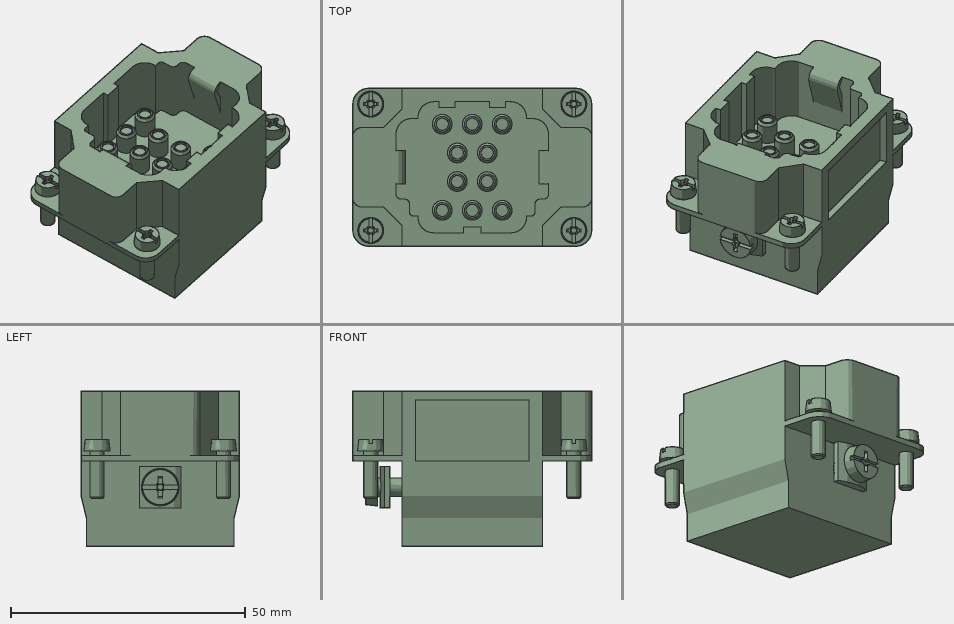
import cadquery as cq
import math

length, width, height = 51.1, 33.8, 33.2
body_length = 30.1
foot_width = 31.6
foot_top_z = 6.05
flare_top_z = 10.7
flange_bottom_z, flange_top_z = 18.25, 19.45
flange_corner_radius = 3.5
end_block_width = 17.0
end_block_corner_radius = 2.0
corner_chamfer = 3.9

label_length = 24.3
label_top_z = 31.25
label_depth = 1.5

cavity_floor_z = 18.7
cavity_end_y = 14.0
narrow_half_length = 11.6
shoulder_y = 10.4
wide_half_length = 16.3
wide_bottom_y = -6.8
step_half_length = 13.4
large_radius, small_radius, step_radius = 3.35, 1.1, 0.8
key_depth = 1.2
top_key_x, top_key_width = 5.4, 3.45
bottom_key_width = 3.65

pin_diameter, pin_rim_diameter, pin_dimple_diameter = 4.2, 3.3, 2.6
pin_top_z = 23.6
pin_taper, pin_dimple_depth = 0.6, 0.5
pin_pitch_x = 6.4
pin_inner_y, pin_outer_y = 3.05, 9.2

latch_width = 7.1
latch_reach = 2.05
latch_bottom_z = 24.0
latch_gap_bottom_z = 28.4
latch_bend_z = 31.2
latch_thickness = 0.85
latch_top_land = 0.3

screw_x, screw_y = 21.7, 13.5
screw_diameter = 3.05
screw_tip_z = 10.3
screw_tip_chamfer = 0.3
screw_head_bottom_z, screw_head_top_z = 20.4, 22.9
screw_head_diameter = 5.55
screw_slot_width, screw_cross_length, screw_socket_diameter = 0.7, 3.1, 2.0
slot_depth = 0.95

terminal_z = 12.67
terminal_shaft_diameter = 4.0
terminal_head_diameter = 8.0
terminal_head_back_x, terminal_head_front_x = -20.2, -22.8
terminal_slot_width, terminal_cross_length, terminal_socket_diameter = 0.9, 4.6, 2.0
plate_size = 8.85
plate_back_x, plate_edge_x, plate_crown_x = -17.6, -18.75, -19.7

head_lip = 0.4
head_taper = 0.25
cross_end_slope = 0.3
socket_depth = 1.4
socket_floor_ratio = 0.6

embed = 0.5


def box(x_min, x_max, y_min, y_max, z_min, z_max):
    size = (x_max - x_min, y_max - y_min, z_max - z_min)
    return cq.Workplane("XY").box(*size, centered=False).translate((x_min, y_min, z_min))


def centred_box(x_size, y_size, z_min, z_max):
    return box(-x_size / 2, x_size / 2, -y_size / 2, y_size / 2, z_min, z_max)


def revolved(profile):
    """Solid of revolution about Z from (radius, z) points."""
    return cq.Workplane("XZ").polyline(profile).close().revolve(360, (0, 0), (0, 1))


def make_housing():
    foot_profile = [
        (foot_width / 2, 0),
        (foot_width / 2, foot_top_z),
        (width / 2, flare_top_z),
        (width / 2, height),
    ]
    mirrored = [(-y, z) for y, z in reversed(foot_profile)]
    body = cq.Workplane("YZ").polyline(foot_profile + mirrored).close().extrude(body_length / 2, both=True)

    flange = centred_box(length, width, flange_bottom_z, flange_top_z)
    flange = flange.edges("|Z").fillet(flange_corner_radius)

    end_blocks = centred_box(length, end_block_width, flange_bottom_z, height)
    end_blocks = end_blocks.edges("|Z").fillet(end_block_corner_radius)

    bevel_half_width = end_block_width / 2 + corner_chamfer
    bevels = centred_box(body_length + 2 * corner_chamfer, 2 * bevel_half_width, flange_bottom_z, height)
    bevels = bevels.edges("|Z").chamfer(corner_chamfer)
    return body.union(flange).union(end_blocks).union(bevels)


def make_label_recess():
    return box(
        -label_length / 2, label_length / 2,
        -width / 2, -width / 2 + label_depth,
        flange_bottom_z, label_top_z,
    )


def make_cavity():
    narrow = centred_box(2 * narrow_half_length, 2 * cavity_end_y, cavity_floor_z, height)
    narrow = narrow.edges("|Z").fillet(large_radius)

    wide = box(-wide_half_length, wide_half_length, wide_bottom_y, shoulder_y, cavity_floor_z, height)
    wide = wide.edges("|Z and >Y").fillet(large_radius)
    wide = wide.edges("|Z and <Y").fillet(small_radius)

    step = box(-step_half_length, step_half_length, -shoulder_y, 0, cavity_floor_z, height)
    step = step.edges("|Z and <Y").fillet(step_radius)

    inner_corners = cq.selectors.BoxSelector(
        (-step_half_length - embed, wide_bottom_y - embed, cavity_floor_z),
        (step_half_length + embed, wide_bottom_y + embed, height),
    )
    cavity = wide.union(step).edges("|Z").edges(inner_corners).fillet(small_radius)
    cavity = cavity.union(narrow)

    top_key = box(
        -top_key_width / 2, top_key_width / 2,
        cavity_end_y - key_depth, cavity_end_y,
        cavity_floor_z, height,
    )
    bottom_key = box(
        -bottom_key_width / 2, bottom_key_width / 2,
        -cavity_end_y, -cavity_end_y + key_depth,
        cavity_floor_z, height,
    )
    for side in (-1, 1):
        cavity = cavity.cut(top_key.translate((side * top_key_x, 0, 0)))
    return cavity.cut(bottom_key)


def make_pin():
    return revolved([
        (0, cavity_floor_z - embed),
        (pin_diameter / 2, cavity_floor_z - embed),
        (pin_diameter / 2, pin_top_z - pin_taper),
        (pin_rim_diameter / 2, pin_top_z),
        (pin_dimple_diameter / 2, pin_top_z),
        (pin_dimple_diameter / 2, pin_top_z - pin_dimple_depth),
        (0, pin_top_z - pin_dimple_depth),
    ])


def pin_positions():
    outer = [(x, y) for y in (-pin_outer_y, pin_outer_y) for x in (-pin_pitch_x, 0, pin_pitch_x)]
    inner = [(x, y) for y in (-pin_inner_y, pin_inner_y) for x in (-pin_pitch_x / 2, pin_pitch_x / 2)]
    return outer + inner


def make_latch():
    """Hooked latch on the +X end wall, with a gap between the hook and the wall."""
    nose_z = height - latch_reach
    arc_offset = latch_reach * math.sqrt(0.5)
    slope = math.asin(latch_reach / (nose_z - latch_bottom_z))
    tangent_x = wide_half_length - latch_reach * math.cos(slope)
    tangent_z = nose_z - latch_reach * math.sin(slope)
    root_x = wide_half_length + embed
    return (
        cq.Workplane("XZ")
        .moveTo(root_x, latch_bottom_z)
        .lineTo(wide_half_length, latch_bottom_z)
        .lineTo(tangent_x, tangent_z)
        .threePointArc(
            (wide_half_length - arc_offset, nose_z + arc_offset),
            (wide_half_length, height),
        )
        .lineTo(root_x, height)
        .lineTo(root_x, height - latch_top_land)
        .lineTo(wide_half_length, height - latch_top_land)
        .lineTo(wide_half_length - latch_reach + latch_thickness, latch_bend_z)
        .lineTo(wide_half_length, latch_gap_bottom_z)
        .lineTo(root_x, latch_gap_bottom_z)
        .close()
        .extrude(latch_width / 2, both=True)
    )


def make_screw_head(diameter, thickness, slot_width, cross_length, socket_diameter):
    """Slotted cross-recess head, standing on Z = 0; the full slot runs along Y."""
    radius = diameter / 2
    head = revolved([
        (0, 0),
        (radius, 0),
        (radius, head_lip),
        (radius - head_taper, thickness),
        (0, thickness),
    ])
    slot_floor = thickness - slot_depth
    slot = centred_box(slot_width, 2 * diameter, slot_floor, thickness)
    cross_floor_half = cross_length / 2 - cross_end_slope
    cross = (
        cq.Workplane("XZ")
        .polyline([
            (-cross_floor_half, slot_floor),
            (cross_floor_half, slot_floor),
            (cross_length / 2, thickness),
            (-cross_length / 2, thickness),
        ])
        .close()
        .extrude(slot_width / 2, both=True)
    )
    socket = revolved([
        (0, thickness - socket_depth),
        (socket_floor_ratio * socket_diameter / 2, thickness - socket_depth),
        (socket_diameter / 2, thickness),
        (0, thickness),
    ])
    return head.cut(slot).cut(cross).cut(socket)


def make_flange_screw():
    shaft_length = screw_head_bottom_z - screw_tip_z
    shaft = cq.Workplane("XY").workplane(offset=screw_tip_z).circle(screw_diameter / 2).extrude(shaft_length)
    shaft = shaft.faces("<Z").chamfer(screw_tip_chamfer)
    head = make_screw_head(
        screw_head_diameter, screw_head_top_z - screw_head_bottom_z,
        screw_slot_width, screw_cross_length, screw_socket_diameter,
    )
    return shaft.union(head.translate((0, 0, screw_head_bottom_z)))


def make_terminal():
    """Clamp plate with a crowned face, held by a large screw along X."""
    half_plate = plate_size / 2
    plate = (
        cq.Workplane("XY", origin=(0, 0, terminal_z))
        .moveTo(plate_back_x, -half_plate)
        .lineTo(plate_edge_x, -half_plate)
        .threePointArc((plate_crown_x, 0), (plate_edge_x, half_plate))
        .lineTo(plate_back_x, half_plate)
        .close()
        .extrude(half_plate, both=True)
    )
    shaft_end_x = -body_length / 2 + embed
    shaft = (
        cq.Workplane("YZ", origin=(terminal_head_back_x, 0, terminal_z))
        .circle(terminal_shaft_diameter / 2)
        .extrude(shaft_end_x - terminal_head_back_x)
    )
    head = make_screw_head(
        terminal_head_diameter, terminal_head_back_x - terminal_head_front_x,
        terminal_slot_width, terminal_cross_length, terminal_socket_diameter,
    )
    head = head.rotate((0, 0, 0), (0, 1, 0), -90).translate((terminal_head_back_x, 0, terminal_z))
    return plate.union(shaft).union(head)


result = make_housing().cut(make_label_recess()).cut(make_cavity())

pin = make_pin()
for x, y in pin_positions():
    result = result.union(pin.translate((x, y, 0)))

latch = make_latch()
result = result.union(latch).union(latch.mirror("YZ"))

flange_screw = make_flange_screw()
for x in (-screw_x, screw_x):
    for y in (-screw_y, screw_y):
        result = result.union(flange_screw.translate((x, y, 0)))

result = result.union(make_terminal())